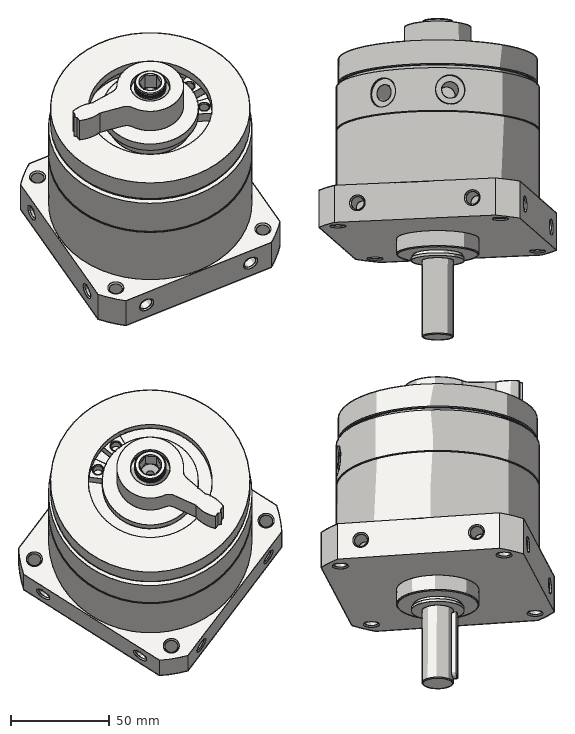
import cadquery as cq
import math


flange_width = 105.0
flange_height = 19.3
flange_corner_diameter = 134.5
body_diameter = 103.65
body_top = 78.4
seam_height = 56.0
seam_width = 0.4
seam_depth = 0.4
cap_neck_diameter = 98.8
cap_diameter = 101.6
cap_bottom = 80.3
cap_top = 93.0
cap_chamfer = 0.5
pilot_diameter = 42.0
pilot_length = 8.3
pilot_chamfer = 0.5

flange_thread_diameter = 6.65
flange_thread_chamfer = 0.75
corner_bolt_circle = 120.0
side_hole_spacing = 60.0
side_hole_depth = 12.0
drill_tip_angle = 118.0

port_diameter = 8.57
port_depth = 14.0
port_height = 67.2
port_angle = 20.0
spotface_diameter = 15.0
spotface_radius = 50.4

slot_inner_diameter = 49.0
slot_outer_diameter = 63.0
slot_undercut = 3.0
slot_lip = 4.9
slot_depth = 11.3
stop_height = 5.8
stop_angle = 16.6
stop_span = 19.4
stop_hole_diameter = 4.92
stop_hole_chamfer = 0.5
undercut_inner_diameter = slot_inner_diameter - 2 * slot_undercut
undercut_outer_diameter = slot_outer_diameter + 2 * slot_undercut
stop_hole_radius = (slot_inner_diameter + slot_outer_diameter) / 4
slot_floor = cap_top - slot_depth
slot_roof = cap_top - slot_lip
stop_top = slot_floor + stop_height

rotor_diameter = 20.0
output_diameter = 16.0
output_length = 39.7
shaft_chamfer = 0.5
collar_diameter = 27.0
collar_neck_diameter = 25.0
collar_height = 3.1
collar_rim_height = 1.4
output_top = -pilot_length - collar_height
output_bottom = output_top - output_length
total_height = 164.1
rotor_top = output_bottom + total_height

ring_groove_diameter = 15.2
head_height = 2.1
ring_groove_width = 1.1
shoulder_depth = 1.0

socket_width = 10.0
socket_depth = 10.0
socket_mouth_diameter = socket_width / math.cos(math.radians(30))
socket_chamfer = (socket_mouth_diameter - socket_width) / 2
socket_floor_depth = 2.0
centre_hole_diameter = 4.13
centre_hole_depth = 8.0

lever_bottom = 94.8
lever_height = 14.9
lever_top = lever_bottom + lever_height
lever_hub_radius = 17.0
lever_root_half_width = 7.1
lever_root_y = -10.0
lever_waist_half_width = 4.0
lever_waist_y = -31.0
lever_bulge_half_width = 4.75
lever_bulge_y = -36.0
lever_tip_half_width = 3.55
lever_tip_y = -42.8
pointer_half_width = 1.2
pointer_tip_y = -44.0
lever_fillet = 5.5

key_width = 5.0
key_length = 36.0
key_rise = 2.0
key_top = -13.0
key_seat = 5.0


def cylinder(diameter, bottom, top):
    return cq.Workplane("XY").workplane(offset=bottom).circle(diameter / 2).extrude(top - bottom)


def ring(inner_diameter, outer_diameter, bottom, top):
    return cylinder(outer_diameter, bottom, top).cut(cylinder(inner_diameter, bottom, top))


def turned(profile):
    """Solid of revolution about Z from (radius, height) points."""
    return cq.Workplane("XZ").polyline(profile).close().revolve(360, (0, 0, 0), (0, 1, 0))


def drilled_hole(diameter, depth):
    """Blind hole with a drill tip, going down from the origin."""
    radius = diameter / 2
    tip = radius / math.tan(math.radians(drill_tip_angle / 2))
    return turned([(0, 0), (radius, 0), (radius, -depth), (0, -depth - tip)])


def countersink(diameter, chamfer):
    """45 degree chamfer cutter for the mouth of a hole, going down from the origin."""
    radius = diameter / 2
    return turned([(0, 0), (radius + chamfer, 0), (radius, -chamfer), (0, -chamfer)])


def make_flange():
    flange = (
        cq.Workplane("XY")
        .rect(flange_width, flange_width)
        .extrude(flange_height)
        .intersect(cylinder(flange_corner_diameter, 0, flange_height))
    )
    mouth = countersink(flange_thread_diameter, flange_thread_chamfer)
    corner_hole = (
        cylinder(flange_thread_diameter, 0, flange_height)
        .union(mouth.translate((0, 0, flange_height)))
        .union(mouth.rotate((0, 0, 0), (1, 0, 0), 180))
        .translate((corner_bolt_circle / 2, 0, 0))
    )
    side_hole = (
        drilled_hole(flange_thread_diameter, side_hole_depth)
        .union(mouth)
        .rotate((0, 0, 0), (1, 0, 0), 90)
        .translate((0, -flange_width / 2, flange_height / 2))
    )
    for side in range(4):
        turn = 90 * side
        flange = flange.cut(corner_hole.rotate((0, 0, 0), (0, 0, 1), turn + 45))
        for offset in (-side_hole_spacing / 2, side_hole_spacing / 2):
            cutter = side_hole.translate((offset, 0, 0)).rotate((0, 0, 0), (0, 0, 1), turn)
            flange = flange.cut(cutter)
    return flange


def cut_ports(body):
    for angle in (port_angle, -port_angle):
        port_plane = cq.Workplane("XZ", origin=(0, spotface_radius, port_height))
        port = port_plane.circle(port_diameter / 2).extrude(port_depth)
        spotface = port_plane.circle(spotface_diameter / 2).extrude(spotface_radius - flange_width / 2)
        body = body.cut(port.union(spotface).rotate((0, 0, 0), (0, 0, 1), angle))
    return body


def make_housing():
    pilot = cylinder(pilot_diameter, -pilot_length, 0).faces("<Z").chamfer(pilot_chamfer)
    body = cylinder(body_diameter, flange_height, body_top)
    seam = ring(
        body_diameter - 2 * seam_depth,
        body_diameter,
        seam_height - seam_width / 2,
        seam_height + seam_width / 2,
    )
    body = cut_ports(body.cut(seam))
    neck = cylinder(cap_neck_diameter, body_top, cap_bottom)
    cap = cylinder(cap_diameter, cap_bottom, cap_top).faces("<Z").chamfer(cap_chamfer)
    housing = make_flange().union(pilot).union(body).union(neck).union(cap)
    slot_mouth = ring(slot_inner_diameter, slot_outer_diameter, slot_floor, cap_top)
    slot_base = ring(undercut_inner_diameter, undercut_outer_diameter, slot_floor, slot_roof)
    rotor_bore = cylinder(rotor_diameter, -pilot_length, cap_top)
    return housing.cut(slot_mouth).cut(slot_base).cut(rotor_bore)


def make_stop(angle):
    """Ring sector in the slot undercut, turned by angle from +Y."""
    reach = undercut_outer_diameter
    half_width = reach * math.tan(math.radians(stop_span / 2))
    wedge = (
        cq.Workplane("XY")
        .workplane(offset=slot_floor)
        .polyline([(0, 0), (half_width, reach), (-half_width, reach)])
        .close()
        .extrude(stop_height)
    )
    stop = ring(undercut_inner_diameter, undercut_outer_diameter, slot_floor, stop_top).intersect(wedge)
    hole = cylinder(stop_hole_diameter, slot_floor, stop_top)
    mouth = countersink(stop_hole_diameter, stop_hole_chamfer).translate((0, 0, stop_top))
    stop = stop.cut(hole.union(mouth).translate((0, stop_hole_radius, 0)))
    return stop.rotate((0, 0, 0), (0, 0, 1), angle)


def make_shaft():
    groove_radius = ring_groove_diameter / 2
    rotor_radius = rotor_diameter / 2
    output_radius = output_diameter / 2
    groove_top = rotor_top - head_height
    groove_bottom = groove_top - ring_groove_width
    cone_top = lever_top - shoulder_depth
    profile = [
        (0, output_bottom),
        (output_radius - shaft_chamfer, output_bottom),
        (output_radius, output_bottom + shaft_chamfer),
        (output_radius, output_top),
        (collar_diameter / 2, output_top),
        (collar_diameter / 2, output_top + collar_rim_height),
        (collar_neck_diameter / 2, -pilot_length),
        (rotor_radius, -pilot_length),
        (rotor_radius, cone_top - (rotor_radius - output_radius)),
        (output_radius, cone_top),
        (output_radius, groove_bottom),
        (groove_radius, groove_bottom),
        (groove_radius, groove_top),
        (output_radius, groove_top),
        (output_radius, rotor_top - shaft_chamfer),
        (output_radius - shaft_chamfer, rotor_top),
        (0, rotor_top),
    ]
    return turned(profile)


def make_socket():
    floor = rotor_top - socket_depth
    hexagon = (
        cq.Workplane("XY")
        .workplane(offset=floor)
        .polygon(6, socket_mouth_diameter)
        .extrude(socket_depth)
    )
    mouth_radius = socket_mouth_diameter / 2
    hole_radius = centre_hole_diameter / 2
    cone_bottom = floor - socket_floor_depth
    round_part = turned(
        [
            (0, rotor_top),
            (mouth_radius, rotor_top),
            (socket_width / 2, rotor_top - socket_chamfer),
            (socket_width / 2, floor),
            (hole_radius, cone_bottom),
            (0, cone_bottom),
        ]
    )
    centre_hole = drilled_hole(centre_hole_diameter, centre_hole_depth).translate((0, 0, cone_bottom))
    return hexagon.union(round_part).union(centre_hole)


def make_lever():
    arm = (
        cq.Workplane("XY")
        .workplane(offset=lever_bottom)
        .moveTo(-lever_root_half_width, lever_root_y)
        .lineTo(-lever_waist_half_width, lever_waist_y)
        .threePointArc((-lever_bulge_half_width, lever_bulge_y), (-lever_tip_half_width, lever_tip_y))
        .lineTo(-pointer_half_width, lever_tip_y)
        .lineTo(0, pointer_tip_y)
        .lineTo(pointer_half_width, lever_tip_y)
        .lineTo(lever_tip_half_width, lever_tip_y)
        .threePointArc((lever_bulge_half_width, lever_bulge_y), (lever_waist_half_width, lever_waist_y))
        .lineTo(lever_root_half_width, lever_root_y)
        .close()
        .extrude(lever_height)
    )
    hub = cylinder(2 * lever_hub_radius, lever_bottom, lever_top)
    root_edges = cq.selectors.BoxSelector(
        (-lever_root_half_width, -lever_hub_radius, lever_bottom - 1),
        (lever_root_half_width, lever_root_y, lever_top + 1),
    )
    lever = hub.union(arm).edges("|Z").edges(root_edges).fillet(lever_fillet)
    return lever.cut(cylinder(rotor_diameter, lever_bottom, lever_top))


def make_key():
    key_outer = output_diameter / 2 + key_rise
    return (
        cq.Workplane("XZ", origin=(0, -key_seat, key_top - key_length / 2))
        .slot2D(key_length, key_width, 90)
        .extrude(key_outer - key_seat)
    )


def make_rotor():
    return make_shaft().union(make_lever()).union(make_key()).cut(make_socket())


housing = make_housing()
rotor = make_rotor()
stops = [make_stop(angle) for angle in (stop_angle, -stop_angle)]

result = cq.Compound.makeCompound([housing.val(), rotor.val(), *[stop.val() for stop in stops]])